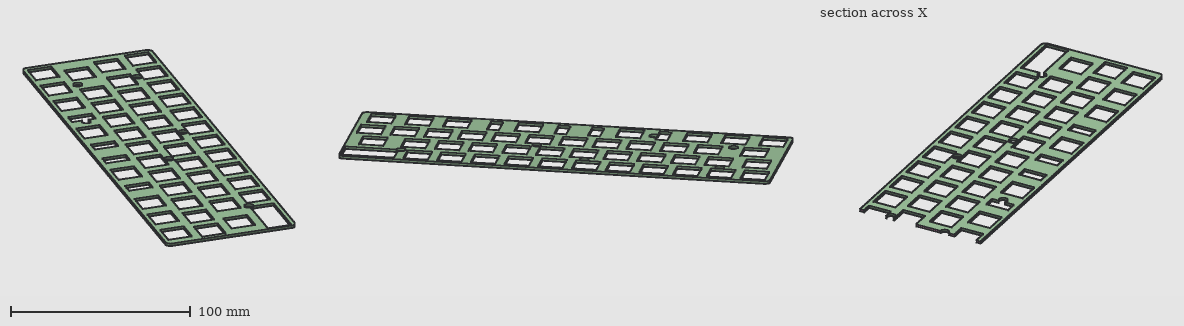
import cadquery as cq

length = 243.5
width = 76.2
thickness = 1.6
corner_radius = 3.0

rows = 4
row_units = 12.75
key_pitch = width / rows
switch_side = 13.9

switch_columns = [
    [0, 1.125, 2.25, 4.25, 7.25, 9.375, 10.5, 11.625],
    [0.375] + [1.75 + i for i in range(11)],
    [0.125] + [1.25 + i for i in range(10)] + [11.5],
    list(range(11)),
]

wide_column = 11
wide_length = 30.0

long_key_columns = [4.25, 7.25]
stabilizer_reach = key_pitch
stabilizer_width = 6.8
stabilizer_raise = 0.7

mount_diameter = 5.0
mount_points = [
    (-90.3, key_pitch),
    (-13.9, key_pitch),
    (89.3, 21.5),
    (16.5, 0),
    (-91.8, -15.5),
    (-44.8, -27.0),
]


def column_centre(column):
    """X of the middle of a one-unit cell that starts at the given column."""
    return (column + 0.5 - row_units / 2) * key_pitch


def row_centre(row):
    """Y of the middle of a row, counted from the front."""
    return (row - (rows - 1) / 2) * key_pitch


def through_rectangles(points, size_x, size_y):
    """Rectangular cutters through the full thickness, centred on the points."""
    return cq.Workplane("XY").pushPoints(points).rect(size_x, size_y).extrude(thickness)


plate = cq.Workplane("XY").rect(length, width).extrude(thickness)
plate = plate.edges("|Z").fillet(corner_radius)

switch_points = [
    (column_centre(column), row_centre(row))
    for row, columns in enumerate(switch_columns)
    for column in columns
]
plate = plate.cut(through_rectangles(switch_points, switch_side, switch_side))

wide_x = column_centre(wide_column) + (wide_length - switch_side) / 2
plate = plate.cut(through_rectangles([(wide_x, row_centre(rows - 1))], wide_length, switch_side))

stabilizer_points = [
    (column_centre(column) + side * stabilizer_reach, row_centre(0) + stabilizer_raise)
    for column in long_key_columns
    for side in (-1, 1)
]
plate = plate.cut(through_rectangles(stabilizer_points, stabilizer_width, switch_side))

mount_holes = cq.Workplane("XY").pushPoints(mount_points).circle(mount_diameter / 2).extrude(thickness)
result = plate.cut(mount_holes)